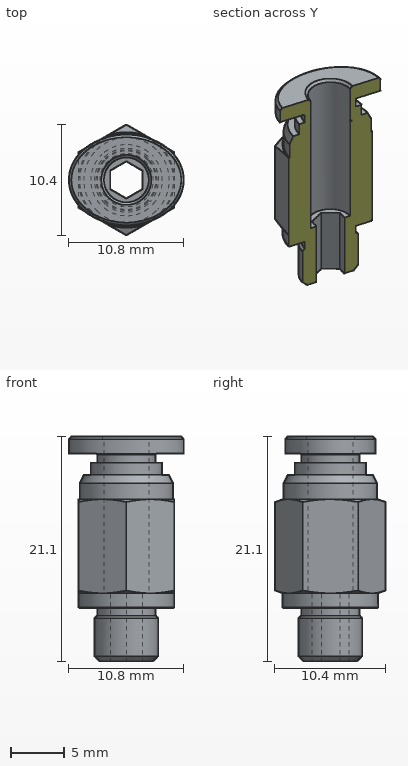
import cadquery as cq
import math

overall_height = 21.1

thread_diameter = 6.0
thread_tip_chamfer = 0.5
thread_top = 4.3
neck_diameter = 5.5
thread_top_chamfer = (thread_diameter - neck_diameter) / 2

hex_across_flats = 9.0
hex_corner_radius = hex_across_flats / 2 / math.cos(math.pi / 6)
hex_bottom = 6.4
hex_top = 15.2
hex_chamfer_angle = 20.0
collar_diameter = hex_across_flats
collar_bottom = 5.0
collar_chamfer = 0.1

shoulder_diameter = 8.8
shoulder_top_diameter = 8.0
shoulder_cone_bottom = 16.7
shoulder_top = 17.5
ring_diameter = 6.7
ring_top = 18.65

button_length = 10.8
button_width = 8.5
button_thickness = 1.6
button_chamfer = 0.25
button_bottom = overall_height - button_thickness
button_root_chamfer = 0.1

bore_diameter = 4.2
bore_chamfer = 0.25
bore_floor = hex_bottom
key_across_flats = 3.0


def hexagon(across_flats, bottom, top):
    """Hexagonal prism with flats facing +X and -X."""
    across_corners = across_flats / math.cos(math.pi / 6)
    return (
        cq.Workplane("XY")
        .workplane(offset=bottom)
        .transformed(rotate=(0, 0, 90))
        .polygon(6, across_corners)
        .extrude(top - bottom)
    )


def revolve_profile(points):
    """Solid of revolution about Z from (radius, height) points."""
    return cq.Workplane("XZ").polyline(points).close().revolve(360, (0, 0), (0, 1))


def turned_core():
    """Stud, relief groove, collar, shoulder, ring and button neck as one turned shape."""
    thread_r = thread_diameter / 2
    neck_r = neck_diameter / 2
    collar_r = collar_diameter / 2
    shoulder_r = shoulder_diameter / 2
    ring_r = ring_diameter / 2
    return revolve_profile([
        (0, 0),
        (thread_r - thread_tip_chamfer, 0),
        (thread_r, thread_tip_chamfer),
        (thread_r, thread_top - thread_top_chamfer),
        (neck_r, thread_top),
        (neck_r, collar_bottom),
        (collar_r - collar_chamfer, collar_bottom),
        (collar_r, collar_bottom + collar_chamfer),
        (collar_r, hex_bottom),
        (shoulder_r, hex_bottom),
        (shoulder_r, shoulder_cone_bottom),
        (shoulder_top_diameter / 2, shoulder_top),
        (ring_r, shoulder_top),
        (ring_r, ring_top),
        (neck_r, ring_top),
        (neck_r, button_bottom - button_root_chamfer),
        (neck_r + button_root_chamfer, button_bottom),
        (0, button_bottom),
    ])


def hex_body():
    """Hexagon whose corners are trimmed by a shallow cone at each end."""
    flat_r = hex_across_flats / 2
    corner_drop = (hex_corner_radius - flat_r) * math.tan(math.radians(hex_chamfer_angle))
    trim = revolve_profile([
        (0, hex_bottom),
        (flat_r, hex_bottom),
        (hex_corner_radius, hex_bottom + corner_drop),
        (hex_corner_radius, hex_top - corner_drop),
        (flat_r, hex_top),
        (0, hex_top),
    ])
    return hexagon(hex_across_flats, hex_bottom, hex_top).intersect(trim)


def button():
    """Elliptical button, long along X, with a chamfered top rim."""
    return (
        cq.Workplane("XY")
        .workplane(offset=button_bottom)
        .ellipse(button_length / 2, button_width / 2)
        .extrude(button_thickness)
        .faces(">Z")
        .chamfer(button_chamfer)
    )


def tube_bore():
    """Blind round bore with a chamfered mouth."""
    bore_r = bore_diameter / 2
    return revolve_profile([
        (0, bore_floor),
        (bore_r, bore_floor),
        (bore_r, overall_height - bore_chamfer),
        (bore_r + bore_chamfer, overall_height),
        (0, overall_height),
    ])


key_passage = hexagon(key_across_flats, 0, bore_floor)

result = turned_core().union(hex_body()).union(button()).cut(tube_bore()).cut(key_passage)